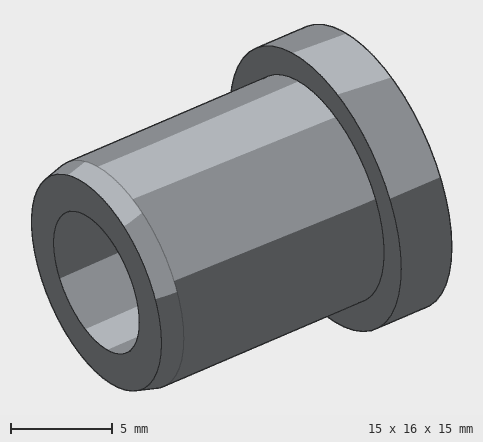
import cadquery as cq
import math

total_length = 16.0
flange_diameter = 15.0
flange_thickness = 3.0
body_diameter = 12.0
bore_diameter = 7.5

taper_length = 1.12
taper_angle = 15.0

flange_radius = flange_diameter / 2
body_radius = body_diameter / 2
bore_radius = bore_diameter / 2
tip_radius = body_radius - taper_length * math.tan(math.radians(taper_angle))

flange_top = flange_thickness
body_end = flange_thickness - total_length

half_section = (
    cq.Workplane("XY")
    .moveTo(bore_radius, body_end)
    .lineTo(tip_radius, body_end)
    .lineTo(body_radius, body_end + taper_length)
    .lineTo(body_radius, 0)
    .lineTo(flange_radius, 0)
    .lineTo(flange_radius, flange_top)
    .lineTo(bore_radius, flange_top)
    .close()
)

result = half_section.revolve(360, (0, 0, 0), (0, 1, 0))